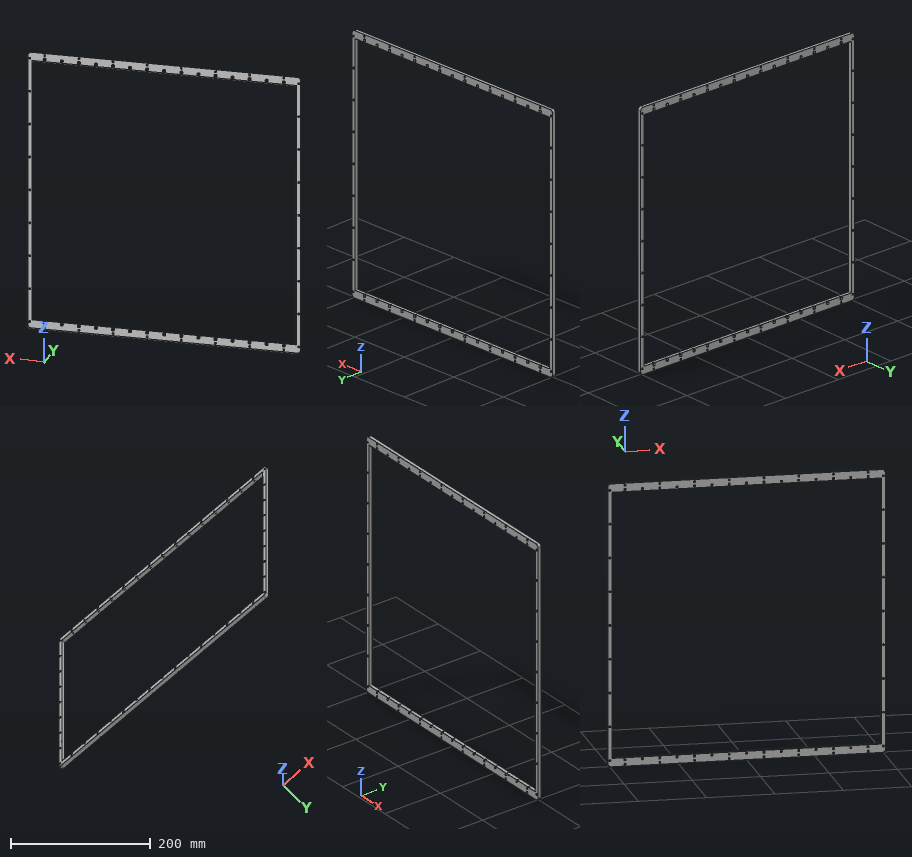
import cadquery as cq
WIDTH = 406.5
HEIGHT = 419.0
THICKNESS = 6.3
CORNER_RADIUS = 5.0

EDGE_INSET = 3.2

SIDE_BAR = 2 * EDGE_INSET
END_BAR = 2 * SIDE_BAR
OPENING_RADIUS = 1.0

HOLE_DIAMETER = 2.4
COUNTERBORE_DIAMETER = 4.1
COUNTERBORE_DEPTH = THICKNESS / 2

ROW_SPAN = 356.0
OUTER_ROW_COUNT = 8
INNER_ROW_COUNT = 2 * OUTER_ROW_COUNT - 1
COLUMN_COUNT = 9
OUTER_ROW_Z = HEIGHT / 2 - EDGE_INSET
INNER_ROW_Z = HEIGHT / 2 - END_BAR + EDGE_INSET
COLUMN_X = WIDTH / 2 - EDGE_INSET
COLUMN_SPAN = 2 * INNER_ROW_Z


def spaced(count, span):
    """Evenly spaced positions covering a span centred on zero."""
    pitch = span / (count - 1)
    return [i * pitch - span / 2 for i in range(count)]


def rows(count, z):
    """Hole centres of one row and its mirror image on the opposite end bar."""
    return [(x, side * z) for side in (-1, 1) for x in spaced(count, ROW_SPAN)]


def columns():
    """Hole centres along both side bars."""
    return [(side * COLUMN_X, z) for side in (-1, 1) for z in spaced(COLUMN_COUNT, COLUMN_SPAN)]


def rounded_block(width, height, radius):
    """Block through the plate thickness, centred on the origin."""
    block = cq.Workplane("XZ").rect(width, height).extrude(THICKNESS / 2, both=True)
    return block.edges("|Y").fillet(radius)


def bores(points, diameter, depth):
    """Cylinders reaching forward from the back face by the given depth."""
    back_face = cq.Workplane("XZ", origin=(0, THICKNESS / 2, 0))
    return back_face.pushPoints(points).circle(diameter / 2).extrude(depth)


plate = rounded_block(WIDTH, HEIGHT, CORNER_RADIUS)
opening = rounded_block(WIDTH - 2 * SIDE_BAR, HEIGHT - 2 * END_BAR, OPENING_RADIUS)

outer_rows = rows(OUTER_ROW_COUNT, OUTER_ROW_Z)
inner_rows = rows(INNER_ROW_COUNT, INNER_ROW_Z)
holes = bores(outer_rows + inner_rows + columns(), HOLE_DIAMETER, THICKNESS)

counterbores = bores(inner_rows, COUNTERBORE_DIAMETER, COUNTERBORE_DEPTH)

result = plate.cut(opening).cut(holes).cut(counterbores)